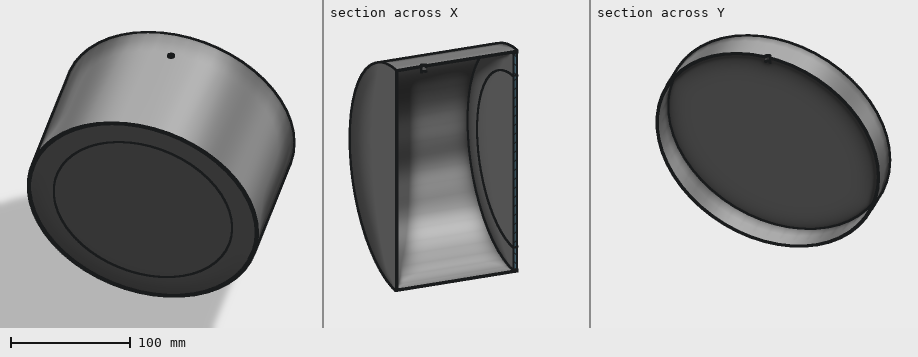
import cadquery as cq

HOUSING_DIAMETER = 200.0
HOUSING_LENGTH = 110.0
WALL = 1.5

RIM_GAP = 0.5
DISC_DIAMETER = 155.0
COVER_THICKNESS = 4.0

BUSH_DIAMETER = 4.8
BUSH_BORE = 3.2
BUSH_LENGTH = 6.0
BUSH_FROM_BACK = 25.0

FRONT_Y = -HOUSING_LENGTH / 2
BACK_Y = HOUSING_LENGTH / 2
BUSH_Y = BACK_Y - BUSH_FROM_BACK
TOP_Z = HOUSING_DIAMETER / 2
INNER_DIAMETER = HOUSING_DIAMETER - 2 * WALL
RING_DIAMETER = INNER_DIAMETER - 2 * RIM_GAP


def front_cylinder(diameter, length):
    """Cylinder along Y, starting at the front face and running toward the back."""
    plane = cq.Plane(origin=(0, FRONT_Y, 0), xDir=(1, 0, 0), normal=(0, 1, 0))
    return cq.Workplane(plane).circle(diameter / 2).extrude(length)


def bush_cylinder(diameter):
    """Upright cylinder on the bush axis, ending level with the top of the housing."""
    start = (0, BUSH_Y, TOP_Z - BUSH_LENGTH)
    return cq.Workplane("XY", origin=start).circle(diameter / 2).extrude(BUSH_LENGTH)


def make_housing():
    outside = front_cylinder(HOUSING_DIAMETER, HOUSING_LENGTH)
    cavity = front_cylinder(INNER_DIAMETER, HOUSING_LENGTH - WALL)
    return outside.cut(cavity).cut(bush_cylinder(BUSH_DIAMETER))


def make_cover_ring():
    opening = front_cylinder(DISC_DIAMETER, COVER_THICKNESS)
    return front_cylinder(RING_DIAMETER, COVER_THICKNESS).cut(opening)


def make_cover_disc():
    return front_cylinder(DISC_DIAMETER, COVER_THICKNESS)


def make_bush():
    tube = bush_cylinder(BUSH_DIAMETER).cut(bush_cylinder(BUSH_BORE))
    return tube.intersect(front_cylinder(HOUSING_DIAMETER, HOUSING_LENGTH))


housing = make_housing()
cover_ring = make_cover_ring()
cover_disc = make_cover_disc()
bush = make_bush()

bodies = [housing, cover_ring, cover_disc, bush]
result = cq.Compound.makeCompound([body.solids().val() for body in bodies])